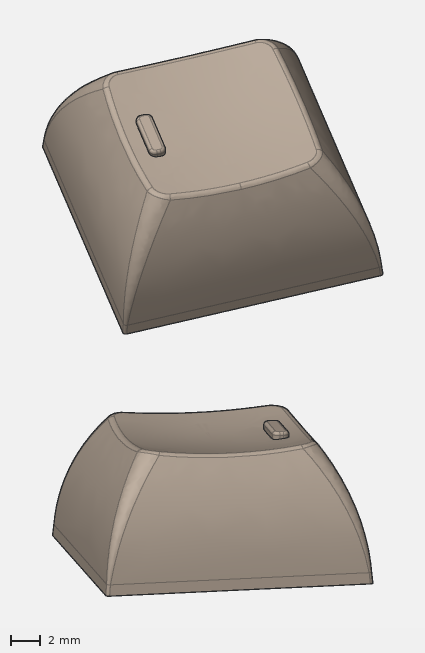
import cadquery as cq
import math

base_width = 18.31

skirt_height = 0.77
skirt_top_half = 9.08
base_corner_radius = 0.22

wall_top_half = 5.93
wall_top_height = 9.15
wall_bulge = 0.7
top_corner_radius = 1.28
wall_sections = 6

dish_radius = 37.54
dish_bottom = 8.24
rim_fillet = 0.44

bar_length = 3.7
bar_width = 1.14
bar_offset = -4.35
bar_top = 8.99
bar_embed = 0.18
bar_corner_radius = 0.44
bar_edge_fillet = 0.22


def wall_half_width(height):
    """Half width of the cap where the wall arc passes the given height."""
    run = skirt_top_half - wall_top_half
    rise = wall_top_height - skirt_height
    chord = math.hypot(run, rise)
    radius = (chord**2 / 4 + wall_bulge**2) / (2 * wall_bulge)
    to_center = radius - wall_bulge
    center_x = (skirt_top_half + wall_top_half) / 2 - to_center * rise / chord
    center_z = (skirt_height + wall_top_height) / 2 - to_center * run / chord
    return center_x + math.sqrt(radius**2 - (height - center_z)**2)


def rounded_square(half_width, corner_radius, height):
    """Horizontal square outline with rounded corners."""
    return (
        cq.Sketch()
        .rect(2 * half_width, 2 * half_width)
        .vertices()
        .fillet(corner_radius)
        .moved(cq.Location(cq.Vector(0, 0, height)))
    )


def make_skirt():
    base = rounded_square(base_width / 2, base_corner_radius, 0)
    top = rounded_square(skirt_top_half, base_corner_radius, skirt_height)
    return cq.Workplane("XY").placeSketch(base, top).loft(ruled=True)


def make_walls():
    """Curved walls whose corner radius grows evenly towards the top."""
    sections = []
    for index in range(wall_sections):
        fraction = index / (wall_sections - 1)
        height = skirt_height + fraction * (wall_top_height - skirt_height)
        radius = base_corner_radius + fraction * (top_corner_radius - base_corner_radius)
        sections.append(rounded_square(wall_half_width(height), radius, height))
    return cq.Workplane("XY").placeSketch(*sections).loft()


def make_dish():
    return cq.Workplane("XY").sphere(dish_radius).translate((0, 0, dish_bottom + dish_radius))


def make_bar():
    """Rounded bar standing on the dish surface."""
    root = dish_bottom - bar_embed
    return (
        cq.Workplane("XY", origin=(0, bar_offset, root))
        .rect(bar_length, bar_width)
        .extrude(bar_top - root)
        .edges("|Z")
        .fillet(bar_corner_radius)
        .faces(">Z")
        .edges()
        .fillet(bar_edge_fillet)
    )


cap = make_skirt().union(make_walls()).cut(make_dish())
dish_face = cap.faces("%SPHERE")
cap = dish_face.edges().fillet(rim_fillet)
result = cap.union(make_bar())